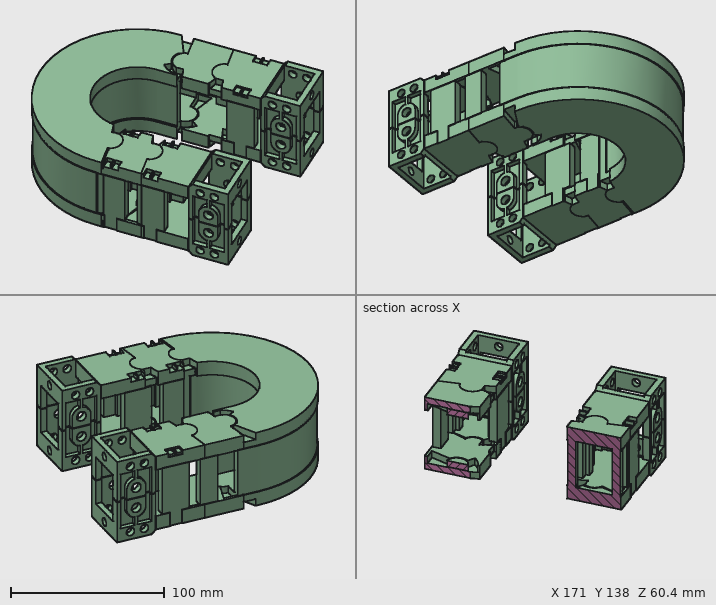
import cadquery as cq
import math

TOTAL_LENGTH = 171.0
OUTER_RADIUS = 138.0 / 2
CHAIN_WIDTH = 38.1
INNER_RADIUS = OUTER_RADIUS - CHAIN_WIDTH

BOX_TOP = 60.4 / 2
PLATE_TOP = 27.4
PLATE_BOTTOM = 17.3
LAP_LEVEL = (PLATE_TOP + PLATE_BOTTOM) / 2

PIVOT_RADIUS = 45.8
PITCH = 28.0
BACK_PIVOT_X = 14.4

KNOB_RADIUS = 8.5
NECK = 7.9
FLANK_NECK_X = -1.7
FLANK_EDGE_X = -4.0
INNER_NOTCH_X = 1.9
INNER_NOTCH_EDGE_X = 3.8
SOCKET_EDGE_X = -5.5
TONGUE_RADIUS = 7.9
TONGUE_NECK = 6.8
TONGUE_INNER_X = 0.3
TONGUE_INNER_Y = -4.5
TONGUE_OUTER_Y = 21.0
TONGUE_CORNER_X = 9.5
TONGUE_SETBACK = 1.5
OUTER_EDGE = OUTER_RADIUS - PIVOT_RADIUS
INNER_EDGE = INNER_RADIUS - PIVOT_RADIUS
SWEEP_MARGIN_Y = INNER_EDGE + TONGUE_SETBACK
FLANK_SLOPE = (FLANK_EDGE_X - FLANK_NECK_X) / (OUTER_EDGE - NECK)
OVERLAP = 17.1
REACH = 136.8
LINK_FLANK_GAP = 1.0

CLEARANCE_RADIUS = 8.5
SWEEP_RADIUS = 14.2
SWEEP_ANGLE = 36.0

STOP_ANGLE = 18.9
BEND_SOCKET_RADIUS = 9.2

BAR_LENGTH = 19.5
BAR_THICKNESS = 5.8
BAR_SETBACK = 0.5
BAR_RELIEF = 0.7
BAR_FROM_SOCKET = 0.7
BAR_FROM_KNOB = 7.2
BACK_LINK_BAR_LENGTH = 12.8
RIDGE_LENGTH = 6.2
RIDGE_FROM_BAR = 5.0
RIDGE_DEPTH = 2.5
OUTER_WALL_SETBACK = 0.7
INNER_WALL_SETBACK = 1.5
SLOT_LENGTH = 4.6
SLOT_RIB = 1.0
SLOT_WIDTH = 5.8
SLOT_DEPTH = 2.9
SLOT_EDGE_WIDTH = 0.5
BACK_SLOT_DEPTH = 1.4
SLOTS_FROM_BAR = 4.8
SEAT_LENGTH = 8.7
SEAT_FROM_BAR = 5.3

BOX_LENGTH = 27.9
FRONT_BOX_X = 65.7
BACK_BOX_X = TOTAL_LENGTH - OUTER_RADIUS - BOX_LENGTH
BOX_WALL = 4.6
END_WALL = 4.3
BOX_LIP = 2.0
BOX_CHAMFER_X = 2.7
SEAM = 0.5
SCREW_HOLE = 5.6
SCREW_X = (8.0, 18.1)
SCREW_Z = 24.5
PAD_HOLE = 6.7
PAD_HOLE_Z = 7.5
PAD_WIDTH = 13.7
PAD_RIB = 2.0
POCKET_LENGTH = 22.4
POCKET_HEIGHT = 40.5
POCKET_DEPTH = 3.5
WINDOW_WIDTH = 25.6
WINDOW_HEIGHT = 34.7
JOINT_GROOVE_LENGTH = 0.5
JOINT_GROOVE_DEPTH = 0.3


def block(x0, x1, y0, y1, z0, z1):
    """Box given by its limits along each axis."""
    return cq.Workplane("XY").box(x1 - x0, y1 - y0, z1 - z0, centered=False).translate((x0, y0, z0))


def arm_block(x0, x1, z0, z1):
    """Full-width stretch of the +Y arm."""
    return block(x0, x1, INNER_RADIUS, OUTER_RADIUS, z0, z1)


def mirrored(body):
    """The body together with its mirror image below Z = 0."""
    return body.union(body.mirror("XY"))


def turned(body):
    """Half turn about Z, from the +Y arm to the -Y arm."""
    return body.rotate((0, 0, 0), (0, 0, 1), 180)


def polar(radius, degrees):
    """Point at a radius and angle from the pivot."""
    return (radius * math.cos(math.radians(degrees)), radius * math.sin(math.radians(degrees)))


def beyond(edge, pivot_x, z0, z1):
    """Extrude a joint edge, closed far out on +X, at a pivot of the +Y arm."""
    return edge.close().extrude(z1 - z0).translate((pivot_x, PIVOT_RADIUS, z0))


def joint_start(flank_gap=0.0):
    """Outer flank, neck and round of the knob, down to the inner neck."""
    neck_x = -math.sqrt(KNOB_RADIUS**2 - NECK**2)
    return (
        cq.Workplane("XY")
        .moveTo(REACH, OUTER_EDGE)
        .lineTo(FLANK_EDGE_X - flank_gap, OUTER_EDGE)
        .lineTo(FLANK_NECK_X - flank_gap, NECK)
        .lineTo(neck_x, NECK)
        .threePointArc((-KNOB_RADIUS, 0), (neck_x, -NECK))
    )


def knob_region(pivot_x):
    edge = (
        joint_start()
        .lineTo(INNER_NOTCH_X, -NECK)
        .lineTo(INNER_NOTCH_EDGE_X, INNER_EDGE)
        .lineTo(REACH, INNER_EDGE)
    )
    return beyond(edge, pivot_x, LAP_LEVEL, PLATE_TOP)


def socket_region(pivot_x, flank_gap):
    edge = joint_start(flank_gap).lineTo(SOCKET_EDGE_X, INNER_EDGE).lineTo(REACH, INNER_EDGE)
    return beyond(edge, pivot_x, LAP_LEVEL, PLATE_TOP)


def inner_flank(radius):
    """Edge of the inner layer from the outer side down to the round about the pivot."""
    neck_x = math.sqrt(radius**2 - TONGUE_NECK**2)
    return (
        cq.Workplane("XY")
        .moveTo(REACH, OUTER_EDGE)
        .lineTo(FLANK_EDGE_X, OUTER_EDGE)
        .lineTo(FLANK_NECK_X + FLANK_SLOPE * (TONGUE_OUTER_Y - NECK), TONGUE_OUTER_Y)
        .lineTo(TONGUE_CORNER_X, TONGUE_OUTER_Y)
        .lineTo(neck_x, TONGUE_NECK)
    )


def tongue_region(pivot_x):
    edge = (
        inner_flank(TONGUE_RADIUS)
        .threePointArc(
            (TONGUE_RADIUS, 0),
            (math.sqrt(TONGUE_RADIUS**2 - TONGUE_INNER_Y**2), TONGUE_INNER_Y),
        )
        .lineTo(TONGUE_INNER_X, TONGUE_INNER_Y)
        .lineTo(INNER_NOTCH_EDGE_X, INNER_EDGE)
        .lineTo(REACH, INNER_EDGE)
    )
    return beyond(edge, pivot_x, PLATE_BOTTOM, LAP_LEVEL)


def clearance_region(pivot_x):
    """What remains of the inner layer beside the tongue and the room its inner end sweeps."""
    margin_x = math.sqrt(SWEEP_RADIUS**2 - SWEEP_MARGIN_Y**2)
    margin_angle = -math.degrees(math.acos(margin_x / SWEEP_RADIUS))
    edge = (
        inner_flank(CLEARANCE_RADIUS)
        .threePointArc((CLEARANCE_RADIUS, 0), polar(CLEARANCE_RADIUS, -SWEEP_ANGLE))
        .lineTo(*polar(SWEEP_RADIUS, -SWEEP_ANGLE))
        .threePointArc(
            polar(SWEEP_RADIUS, (margin_angle - SWEEP_ANGLE) / 2),
            (margin_x, SWEEP_MARGIN_Y),
        )
        .lineTo(INNER_NOTCH_EDGE_X, SWEEP_MARGIN_Y)
        .lineTo(INNER_NOTCH_EDGE_X, INNER_EDGE)
        .lineTo(REACH, INNER_EDGE)
    )
    return beyond(edge, pivot_x, PLATE_BOTTOM, LAP_LEVEL)


def knob_end_region(pivot_x):
    """Both layers of the top plate on the knob side of a joint."""
    return knob_region(pivot_x).union(clearance_region(pivot_x))


def with_knob(plate, pivot_x):
    """Trim the -X end of a top plate: knob in the outer layer, clearance in the inner one."""
    return plate.intersect(knob_end_region(pivot_x))


def with_socket(plate, pivot_x, flank_gap=0.0):
    """Trim the +X end of a top plate: socket in the outer layer, tongue in the inner one."""
    tongue_margin = block(
        pivot_x + SOCKET_EDGE_X,
        pivot_x + REACH,
        INNER_RADIUS,
        INNER_RADIUS + TONGUE_SETBACK,
        PLATE_BOTTOM,
        PLATE_TOP,
    )
    return plate.cut(socket_region(pivot_x, flank_gap)).cut(tongue_region(pivot_x)).cut(tongue_margin)


def crossbars(x0, ridge_offset):
    """Pair of upright bars between the plates, set back from both edges, with a ridge inside."""
    x1 = x0 + BAR_LENGTH
    inner_y = INNER_RADIUS + BAR_SETBACK
    outer_y = OUTER_RADIUS - BAR_SETBACK
    inner_bar = block(x0, x1, inner_y, inner_y + BAR_THICKNESS, -PLATE_BOTTOM, PLATE_BOTTOM)
    outer_bar = block(x0, x1, outer_y - BAR_THICKNESS, outer_y, -PLATE_BOTTOM, PLATE_BOTTOM)
    bars = inner_bar.union(outer_bar)
    depth = BAR_THICKNESS + RIDGE_DEPTH
    ridge_x0 = x0 + ridge_offset
    ridge_x1 = ridge_x0 + RIDGE_LENGTH
    for y in (inner_y, outer_y - depth):
        bars = bars.union(block(ridge_x0, ridge_x1, y, y + depth, -PLATE_BOTTOM, PLATE_BOTTOM))
    return bars


def relieve_outer_bar(body, x0, x1):
    """Set the outer bar back once more where it reaches under the neighbouring plates."""
    y = OUTER_RADIUS - BAR_SETBACK - BAR_RELIEF
    return body.cut(block(x0, x1, y, OUTER_RADIUS, -PLATE_BOTTOM, PLATE_BOTTOM))


def cut_snaps(body, bar_x, slot_depth, flip):
    """Twin slots in the top plate and crossbar seats in the bottom plate, on both edges.

    Next to the plate edge the slots always have their full depth.
    flip measures the offsets from the +X end of the bars instead of the -X end.
    """

    def span(offset, length):
        x0 = bar_x + BAR_LENGTH - offset - length if flip else bar_x + offset
        return x0, x0 + length

    spans = [span(SLOTS_FROM_BAR + i * (SLOT_LENGTH + SLOT_RIB), SLOT_LENGTH) for i in range(2)]
    for x0, x1 in spans:
        for y in (INNER_RADIUS, OUTER_RADIUS - SLOT_WIDTH):
            body = body.cut(block(x0, x1, y, y + SLOT_WIDTH, PLATE_TOP - slot_depth, PLATE_TOP))
        for y in (INNER_RADIUS, OUTER_RADIUS - SLOT_EDGE_WIDTH):
            body = body.cut(block(x0, x1, y, y + SLOT_EDGE_WIDTH, PLATE_TOP - SLOT_DEPTH, PLATE_TOP))
    x0, x1 = span(SEAT_FROM_BAR, SEAT_LENGTH)
    for y in (INNER_RADIUS, OUTER_RADIUS - BAR_SETBACK):
        body = body.cut(block(x0, x1, y, y + BAR_SETBACK, -PLATE_TOP, -PLATE_BOTTOM))
    return body


def side_pocket():
    """Pocket with a ribbed pad left standing, centred on the origin, cutting toward +Z."""
    pocket = cq.Workplane("XY").rect(POCKET_LENGTH, POCKET_HEIGHT).extrude(POCKET_DEPTH)
    pad = cq.Workplane("XY").slot2D(2 * PAD_HOLE_Z + PAD_WIDTH, PAD_WIDTH, 90).extrude(POCKET_DEPTH)
    rib = cq.Workplane("XY").rect(PAD_RIB, POCKET_HEIGHT).extrude(POCKET_DEPTH)
    return pocket.cut(pad).cut(rib)


def cross_holes(x, z, diameter):
    """Pair of holes along Y, at +z and -z, through both side walls."""
    points = [(x, z), (x, -z)]
    return (
        cq.Workplane("XZ", origin=(0, OUTER_RADIUS, 0))
        .pushPoints(points)
        .circle(diameter / 2)
        .extrude(CHAIN_WIDTH)
    )


def mounting_box(x0):
    """Open frame at the end of the +Y arm, with its chain side at x0."""
    x1 = x0 + BOX_LENGTH
    outline = [
        (x0, 0),
        (x0, PLATE_TOP),
        (x0 + BOX_CHAMFER_X, BOX_TOP),
        (x1, BOX_TOP),
        (x1, 0),
    ]
    half = cq.Workplane("XZ", origin=(0, OUTER_RADIUS, 0)).polyline(outline).close().extrude(CHAIN_WIDTH)
    box = mirrored(half)
    y0 = INNER_RADIUS + BOX_WALL
    y1 = OUTER_RADIUS - BOX_WALL
    box = box.cut(block(x0 + BOX_LIP, x1 - END_WALL, y0, y1, -BOX_TOP, BOX_TOP))
    box = box.cut(block(x0, x0 + BOX_LIP, y0, y1, -PLATE_BOTTOM, PLATE_BOTTOM))

    mid_x = x0 + BOX_LENGTH / 2
    pocket = side_pocket().rotate((0, 0, 0), (1, 0, 0), -90)
    box = box.cut(pocket.translate((mid_x, INNER_RADIUS, 0)))
    box = box.cut(pocket.translate((mid_x, OUTER_RADIUS - POCKET_DEPTH, 0)))
    for x in SCREW_X:
        box = box.cut(cross_holes(x0 + x, SCREW_Z, SCREW_HOLE))
    box = box.cut(cross_holes(mid_x, PAD_HOLE_Z, PAD_HOLE))

    mid_y = (INNER_RADIUS + OUTER_RADIUS) / 2
    end_plane = cq.Workplane("YZ", origin=(x1 - END_WALL, mid_y, 0))
    box = box.cut(end_plane.rect(WINDOW_WIDTH, WINDOW_HEIGHT).extrude(END_WALL))
    end_holes = end_plane.pushPoints([(0, SCREW_Z), (0, -SCREW_Z)]).circle(SCREW_HOLE / 2)
    box = box.cut(end_holes.extrude(END_WALL))

    return box.cut(arm_block(x0, x1, -SEAM / 2, SEAM / 2))


def cut_box_joint(body, box_x):
    """Shallow upright grooves in the plate edges where they meet the box."""
    for y in (INNER_RADIUS, OUTER_RADIUS - JOINT_GROOVE_DEPTH):
        body = body.cut(
            block(box_x - JOINT_GROOVE_LENGTH, box_x, y, y + JOINT_GROOVE_DEPTH, -PLATE_TOP, PLATE_TOP)
        )
    return body


def u_shape(r0, r1, z0, z1, end_x):
    """Half ring on the -X side, with a straight stretch to end_x on the +Y side."""
    ring = cq.Workplane("XY").circle(r1).circle(r0).extrude(z1 - z0).translate((0, 0, z0))
    half_ring = ring.intersect(block(-r1, 0, -r1, r1, z0, z1))
    return half_ring.union(block(0, end_x, r0, r1, z0, z1))


def bend_socket():
    """Room for the knob of the back link in the outer layer, with the joint at its stop."""
    angle = math.radians(STOP_ANGLE)

    def stopped(x, y):
        return (x * math.cos(angle) - y * math.sin(angle), x * math.sin(angle) + y * math.cos(angle))

    round_start_x = -math.sqrt(BEND_SOCKET_RADIUS**2 - NECK**2)
    sweep_start_angle = 180 + SWEEP_ANGLE
    sweep_end_x = -math.sqrt(SWEEP_RADIUS**2 - SWEEP_MARGIN_Y**2)
    sweep_end_angle = 180 + math.degrees(math.atan(SWEEP_MARGIN_Y / sweep_end_x))
    edge = (
        cq.Workplane("XY")
        .moveTo(REACH, OUTER_EDGE)
        .lineTo(*stopped(FLANK_NECK_X + FLANK_SLOPE * OUTER_EDGE, NECK + OUTER_EDGE))
        .lineTo(*stopped(FLANK_NECK_X, NECK))
        .lineTo(*stopped(round_start_x, NECK))
        .threePointArc((-BEND_SOCKET_RADIUS, 0), polar(BEND_SOCKET_RADIUS, sweep_start_angle))
        .lineTo(*polar(SWEEP_RADIUS, sweep_start_angle))
        .threePointArc(
            polar(SWEEP_RADIUS, (sweep_start_angle + sweep_end_angle) / 2),
            (sweep_end_x, SWEEP_MARGIN_Y),
        )
        .lineTo(REACH, SWEEP_MARGIN_Y)
    )
    return beyond(edge, BACK_PIVOT_X, LAP_LEVEL, PLATE_TOP)


def make_bend():
    plate = u_shape(INNER_RADIUS, OUTER_RADIUS, PLATE_BOTTOM, PLATE_TOP, BACK_PIVOT_X).cut(bend_socket())
    tongue = (
        cq.Workplane("XY", origin=(BACK_PIVOT_X, PIVOT_RADIUS, PLATE_BOTTOM))
        .circle(TONGUE_RADIUS)
        .extrude(LAP_LEVEL - PLATE_BOTTOM)
    )
    plate = plate.union(tongue).cut(knob_end_region(BACK_PIVOT_X))

    kept = knob_end_region(0)
    knob = arm_block(-KNOB_RADIUS, 0, PLATE_BOTTOM, PLATE_TOP).intersect(kept)
    gap = block(0, SWEEP_RADIUS, INNER_RADIUS, OUTER_RADIUS, PLATE_BOTTOM, PLATE_TOP).cut(kept)
    inner_sliver = block(0, INNER_NOTCH_EDGE_X, 0, INNER_RADIUS, PLATE_BOTTOM, PLATE_TOP)
    plate = plate.cut(turned(gap)).cut(turned(inner_sliver)).union(turned(knob))

    wall_radii = [
        (OUTER_RADIUS - BAR_THICKNESS, OUTER_RADIUS - OUTER_WALL_SETBACK),
        (INNER_RADIUS + INNER_WALL_SETBACK, INNER_RADIUS + BAR_THICKNESS),
    ]
    for r0, r1 in wall_radii:
        plate = plate.union(u_shape(r0, r1, 0, PLATE_BOTTOM, BACK_PIVOT_X))
    return mirrored(plate)


def make_front_link():
    bar_x = -BAR_FROM_SOCKET - BAR_LENGTH
    plate = arm_block(-PITCH - KNOB_RADIUS, OVERLAP, PLATE_BOTTOM, PLATE_TOP)
    plate = with_socket(with_knob(plate, -PITCH), 0, LINK_FLANK_GAP)
    link = mirrored(plate).union(crossbars(bar_x, BAR_LENGTH - RIDGE_FROM_BAR - RIDGE_LENGTH))
    link = relieve_outer_bar(link, FLANK_EDGE_X - LINK_FLANK_GAP, 0)
    inner_y = INNER_RADIUS + TONGUE_SETBACK
    link = link.cut(block(SOCKET_EDGE_X, 0, INNER_RADIUS, inner_y, -PLATE_BOTTOM, PLATE_BOTTOM))
    return turned(cut_snaps(link, bar_x, SLOT_DEPTH, True))


def make_front_end():
    bar_x = -PITCH - BAR_FROM_SOCKET - BAR_LENGTH
    plate = arm_block(-FRONT_BOX_X, 0, PLATE_BOTTOM, PLATE_TOP)
    plate = with_socket(plate, -PITCH)
    end = cut_box_joint(mirrored(plate), -FRONT_BOX_X + JOINT_GROOVE_LENGTH)
    end = end.union(crossbars(bar_x, BAR_LENGTH - RIDGE_FROM_BAR - RIDGE_LENGTH))
    end = relieve_outer_bar(end, -PITCH + FLANK_EDGE_X, -PITCH)
    end = turned(cut_snaps(end, bar_x, SLOT_DEPTH, True))
    box = mounting_box(FRONT_BOX_X).mirror("XZ")
    return end.union(box)


def make_back_link():
    pivot_x = BACK_PIVOT_X + PITCH
    plate = arm_block(0, pivot_x + OVERLAP, PLATE_BOTTOM, PLATE_TOP)
    plate = with_socket(with_knob(plate, BACK_PIVOT_X), pivot_x)
    bar_x1 = pivot_x - BAR_FROM_SOCKET
    outer_y = OUTER_RADIUS - BAR_SETBACK
    bar = block(
        bar_x1 - BACK_LINK_BAR_LENGTH, bar_x1, outer_y - BAR_THICKNESS, outer_y, -PLATE_BOTTOM, PLATE_BOTTOM
    )
    return mirrored(plate).union(bar)


def make_back_end():
    pivot_x = BACK_PIVOT_X + PITCH
    bar_x = pivot_x + BAR_FROM_KNOB
    plate = with_knob(arm_block(pivot_x - OVERLAP, BACK_BOX_X, PLATE_BOTTOM, PLATE_TOP), pivot_x)
    end = cut_snaps(mirrored(plate).union(crossbars(bar_x, RIDGE_FROM_BAR)), bar_x, BACK_SLOT_DEPTH, False)
    return cut_box_joint(end, BACK_BOX_X).union(mounting_box(BACK_BOX_X))


bend = make_bend()
front_link = make_front_link()
front_end = make_front_end()
back_link = make_back_link()
back_end = make_back_end()

result = cq.Compound.makeCompound(
    [body.solids().val() for body in (bend, front_link, front_end, back_link, back_end)]
)